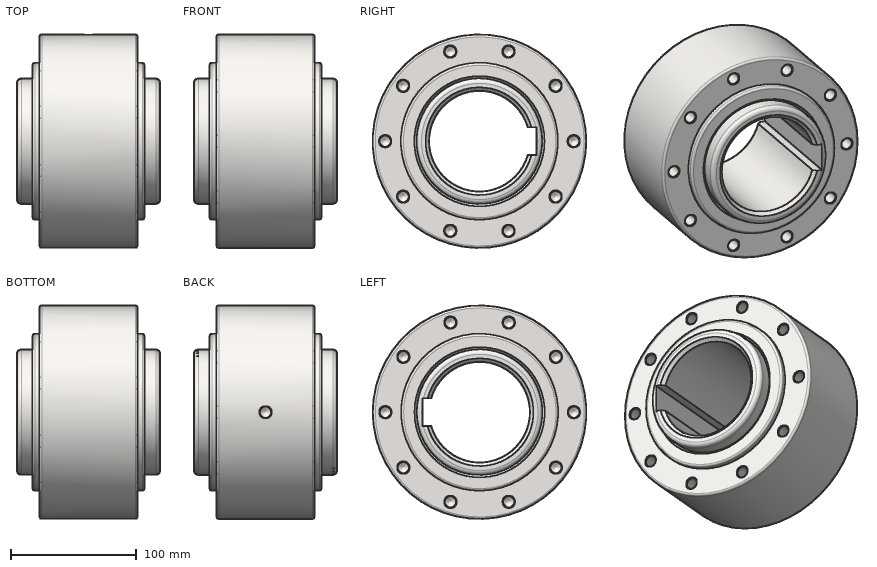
import cadquery as cq
import math


ring_diameter = 170.0
ring_width = 78.0

cover_diameter = 125.0
cover_overall_width = 89.0
edge_rounding = 1.9

hub_diameter = 100.0
hub_length = 114.0
hub_rounding = 3.7
bore_diameter = 79.9
bore_chamfer = 2.9

cover_inner_chamfer = 1.9

keyway_width = 22.0
keyway_reach = 45.4

hole_count = 10
hole_circle_diameter = 150.0
hole_diameter = 8.8
hole_chamfer = 0.6
hole_depth = 20.0
drill_point_angle = 118.0


def disc(diameter, width):
    """Solid cylinder along X, centred on the origin."""
    return cq.Workplane("YZ", origin=(-width / 2, 0, 0)).circle(diameter / 2).extrude(width)


def rim_edges(body):
    """The circular edges at both ends of a disc."""
    return body.faces("<X or >X").edges()


def inner_chamfer(diameter, width, size):
    """Tool for a 45 degree chamfer around an opening in the -X face of a disc."""
    radius = diameter / 2
    face_x = -width / 2
    return (
        cq.Workplane("XY")
        .moveTo(face_x, 0)
        .lineTo(face_x, radius + size)
        .lineTo(face_x + size, radius)
        .lineTo(face_x + size, 0)
        .close()
        .revolve(360, (0, 0, 0), (1, 0, 0))
    )


def drilled_hole():
    """Tool for a chamfered blind hole with a conical bottom, running from the origin along +X."""
    radius = hole_diameter / 2
    point_length = radius / math.tan(math.radians(drill_point_angle / 2))
    return (
        cq.Workplane("XY")
        .lineTo(0, radius + hole_chamfer)
        .lineTo(hole_chamfer, radius)
        .lineTo(hole_depth, radius)
        .lineTo(hole_depth + point_length, 0)
        .close()
        .revolve(360, (0, 0, 0), (1, 0, 0))
    )


def cut_on_both_sides(body, cutter):
    """Cut with a -X side tool and its mirror image on the +X side."""
    return body.cut(cutter).cut(cutter.mirror("YZ"))


ring = rim_edges(disc(ring_diameter, ring_width)).fillet(edge_rounding)
covers = rim_edges(disc(cover_diameter, cover_overall_width)).fillet(edge_rounding)
hub = rim_edges(disc(hub_diameter, hub_length)).fillet(hub_rounding)
result = ring.union(covers)
result = cut_on_both_sides(result, inner_chamfer(hub_diameter, cover_overall_width, cover_inner_chamfer))
result = result.union(hub)

result = result.cut(disc(bore_diameter, hub_length))
result = cut_on_both_sides(result, inner_chamfer(bore_diameter, hub_length, bore_chamfer))

keyway = cq.Workplane("XY").box(hub_length, keyway_reach, keyway_width, centered=(True, False, True))
result = result.cut(keyway)

first_face_hole = drilled_hole().translate((-ring_width / 2, hole_circle_diameter / 2, 0))
for index in range(hole_count):
    angle = index * 360 / hole_count
    result = cut_on_both_sides(result, first_face_hole.rotate((0, 0, 0), (1, 0, 0), angle))

radial_hole = drilled_hole().rotate((0, 0, 0), (0, 0, 1), -90).translate((0, ring_diameter / 2, 0))
result = result.cut(radial_hole)